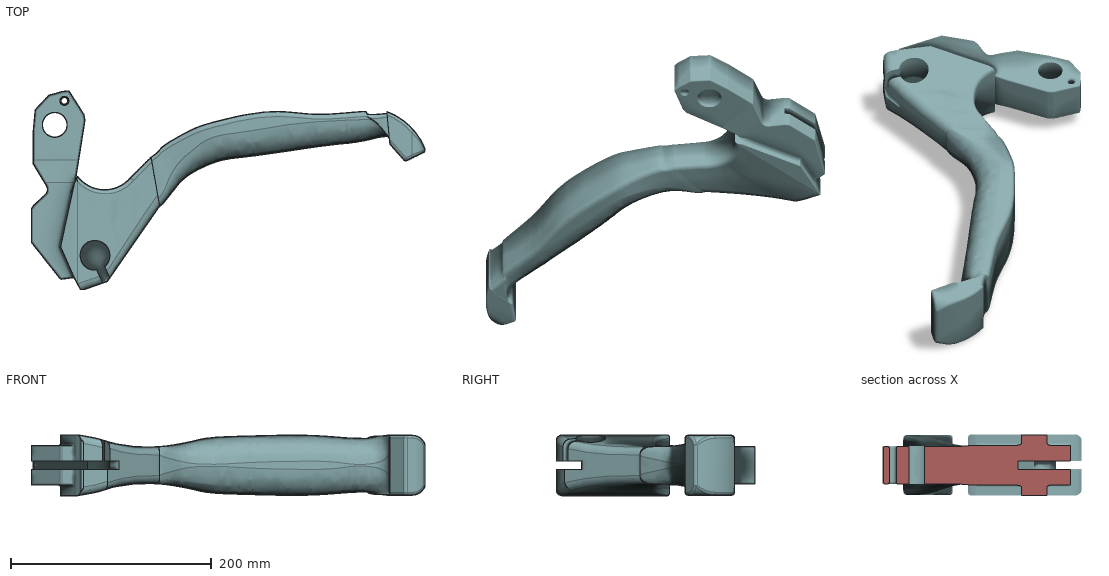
import cadquery as cq
import math


total_length = 392.19
total_width = 198.13
half_height = 60.74 / 2

arm_half_height = 18.7
knuckle_half_height = 19.9
arm_edge_radius = 1.2
arm_corner_radius = 2.0
neck_corner = (18.0, 98.5)
neck_radius = 7.0
slope_top_y = 129.0
slope_bottom_y = 107.0

pivot_diameter = 24.37
pivot_centre = (23.3, 164.2)
pin_diameter = 6.65
pin_rim_diameter = 8.9
pin_centre = (32.9, 188.1)
barrel_diameter = 29.55
barrel_centre = (63.4, 34.2)

slot_half_height = 4.0
slot_start = (4.0, 83.5)
slot_end = (88.0, 24.8)
groove_width = 8.6
groove_angle = -66.0
groove_length = 40.0

step_top = (42.8, 105.5)
step_corner = (29.2, 42.8)
step_bottom = (43.3, 10.7)
step_fillet = 1.8
web_back_radius = 4.0
web_front_radius = 8.0
heel = (49.6, -0.9)
heel_radius = 2.5
web_end_back = (119.2, 132.0)
web_end_front = (127.8, 83.3)
web_end_half_height = 18.2

tip_start_back = (354.0, 177.4)
tip_start_front = (357.0, 145.0)
tip_half_height = 29.9
tip_corner_radius = 14.0
tip_edge_radius = 3.0
tip_end_x = 392.96

edge_pick_distance = 0.6


def between_heights(sketch, half):
    """Extrude a plan outline symmetrically about the mid-plane."""
    return sketch.extrude(half, both=True)


def edges_near(body, places):
    """Select edges off the mid-plane that pass close to the given plan points."""
    probes = [cq.Edge.makeLine(cq.Vector(x, y, -half_height), cq.Vector(x, y, half_height)) for x, y in places]
    chosen = []
    for edge in body.edges("not |Z").vals():
        if any(edge.distance(probe) < edge_pick_distance for probe in probes):
            chosen.append(edge)
    return body.newObject(chosen)


def mounting_arm():
    plan = (
        cq.Workplane("XY")
        .moveTo(0, 80.4)
        .lineTo(0, 47.2)
        .lineTo(29.2, 10.3)
        .lineTo(50.0, 13.0)
        .lineTo(60, 30)
        .lineTo(60, 90)
        .lineTo(44.2, 110.2)
        .lineTo(53.5, 168.9)
        .lineTo(52.4, 174.5)
        .lineTo(37.3, 198.28)
        .lineTo(30.7, 197.4)
        .lineTo(17.4, 193.7)
        .lineTo(3.8, 179.2)
        .lineTo(1.8, 157.8)
        .lineTo(1.8, 125.5)
        .lineTo(*neck_corner)
        .lineTo(2.7, 84.5)
        .close()
    )
    body = between_heights(plan, half_height)
    neck = body.edges(cq.selectors.NearestToPointSelector((*neck_corner, 0)))
    body = neck.fillet(neck_radius).edges("|Z").fillet(arm_corner_radius)
    side = (
        cq.Workplane("YZ")
        .moveTo(0, -knuckle_half_height)
        .lineTo(slope_bottom_y, -knuckle_half_height)
        .spline([(slope_top_y, -arm_half_height)], tangents=[(1, 0), (1, 0)], includeCurrent=True)
        .lineTo(total_length, -arm_half_height)
        .lineTo(total_length, arm_half_height)
        .lineTo(slope_top_y, arm_half_height)
        .spline([(slope_bottom_y, knuckle_half_height)], tangents=[(-1, 0), (-1, 0)], includeCurrent=True)
        .lineTo(0, knuckle_half_height)
        .close()
        .extrude(total_length)
    )
    arm = body.intersect(side)
    return arm.edges("not (|X or |Z)").fillet(arm_edge_radius)


def lever_web():
    plan = (
        cq.Workplane("XY")
        .moveTo(*step_top)
        .lineTo(*step_corner)
        .lineTo(*step_bottom)
        .lineTo(*heel)
        .lineTo(75.6, 8.2)
        .lineTo(*web_end_front)
        .lineTo(*web_end_back)
        .lineTo(98.5, 111.4)
        .threePointArc((72.0, 99.6), (46.0, 113.0))
        .close()
    )
    body = between_heights(plan, half_height).edges("|Z").edges("<Y").fillet(heel_radius)
    far_x = web_end_front[0]
    flank = [(67.0, 26.3), (82.0, 21.7), (102.7, 18.6), (far_x, web_end_half_height)]
    side = (
        cq.Workplane("XZ")
        .moveTo(0, 0)
        .lineTo(0, half_height)
        .lineTo(46, half_height)
        .spline(flank, tangents=[(1, -0.2), (1, 0)], includeCurrent=True)
        .lineTo(far_x, 0)
        .close()
        .extrude(-total_width)
    )
    web = body.intersect(side.union(side.mirror("XY")))
    back_edges = edges_near(web, [(72.0, 99.6), (108.0, 121.2)])
    web = back_edges.fillet(web_back_radius)
    front_edges = edges_near(web, [(101.7, 45.75), (63.0, 4.13)])
    return front_edges.fillet(web_front_radius)


def grip_section(back, front, half, back_radius, nose_length, nose_half):
    """Closed D-shaped wire, flat at the back point and rounded to the front point."""
    run_x = front[0] - back[0]
    run_y = front[1] - back[1]
    depth = math.hypot(run_x, run_y)
    plane = cq.Plane(origin=(*back, 0), xDir=(run_x, run_y, 0), normal=(run_y, -run_x, 0))
    diagonal = math.sqrt(0.5)
    nose_start = depth - nose_length
    corner_in = back_radius * (1 - diagonal)
    nose_mid_x = nose_start + nose_length * diagonal
    nose_mid_z = nose_half + (half - nose_half) * diagonal
    outline = (
        cq.Workplane(plane)
        .moveTo(0, back_radius - half)
        .lineTo(0, half - back_radius)
        .threePointArc((corner_in, half - corner_in), (back_radius, half))
        .lineTo(nose_start, half)
        .spline([(nose_mid_x, nose_mid_z), (depth, nose_half)], tangents=[(1, 0), (0, -1)], includeCurrent=True)
        .lineTo(depth, -nose_half)
        .spline([(nose_mid_x, -nose_mid_z), (nose_start, -half)], tangents=[(0, -1), (-1, 0)], includeCurrent=True)
        .lineTo(back_radius, -half)
        .threePointArc((corner_in, corner_in - half), (0, back_radius - half))
        .close()
    )
    return outline.val()


def grip():
    stations = [
        (web_end_back, web_end_front, web_end_half_height, web_back_radius, web_front_radius, 10.2),
        ((128.0, 139.6), (136.5, 92.3), 18.8, web_back_radius, 12.0, 7.0),
        ((136.9, 146.8), (148.0, 106.9), 19.8, 4.5, 16.0, 4.0),
        ((157.5, 158.3), (163.5, 118.3), 23.5, 5.0, 21.0, 1.5),
        ((173.0, 164.5), (183.4, 127.1), 27.0, 5.0, 24.0, 1.0),
        ((208.8, 173.5), (213.0, 132.2), 29.0, 5.0, 25.0, 2.5),
        ((250.9, 177.4), (257.0, 138.3), 30.0, 5.0, 26.0, 4.0),
        ((298.0, 174.9), (304.8, 144.8), 28.6, 5.0, 24.0, 3.0),
        ((333.5, 177.1), (338.5, 149.9), 26.7, 5.0, 20.0, 1.5),
        ((356.0, 176.0), (358.5, 144.4), 29.5, 4.0, 4.0, 25.0),
    ]
    wires = [grip_section(*station) for station in stations]
    return cq.Workplane(cq.Solid.makeLoft(wires))


def hooked_tip():
    plan = (
        cq.Workplane("XY")
        .moveTo(*tip_start_back)
        .threePointArc((377.3, 162.5), (tip_end_x, 137.9))
        .lineTo(372.3, 127.6)
        .lineTo(*tip_start_front)
        .close()
    )
    body = between_heights(plan, half_height)
    start_x = tip_start_back[0]
    inset = tip_corner_radius * (1 - math.sqrt(0.5))
    side = (
        cq.Workplane("XZ")
        .moveTo(start_x, 0)
        .lineTo(start_x, tip_half_height)
        .lineTo(tip_end_x - tip_corner_radius, tip_half_height)
        .threePointArc(
            (tip_end_x - inset, tip_half_height - inset),
            (tip_end_x, tip_half_height - tip_corner_radius),
        )
        .lineTo(tip_end_x, 0)
        .close()
        .extrude(-total_width)
    )
    tip = body.intersect(side.union(side.mirror("XY")))
    start_middle_x = (tip_start_back[0] + tip_start_front[0]) / 2
    start_middle_y = (tip_start_back[1] + tip_start_front[1]) / 2
    start_face = tip.faces(cq.selectors.NearestToPointSelector((start_middle_x, start_middle_y, 0))).val()
    start_edges = start_face.Edges()
    free = [e for e in tip.edges().vals() if not any(e.isSame(s) for s in start_edges)]
    return tip.newObject(free).fillet(tip_edge_radius)


def clevis_cuts(body):
    run_x = slot_end[0] - slot_start[0]
    run_y = slot_end[1] - slot_start[1]
    slot = (
        cq.Workplane("XY")
        .moveTo(slot_start[0] - run_x, slot_start[1] - run_y)
        .lineTo(slot_end[0] + run_x, slot_end[1] + run_y)
        .lineTo(slot_start[0] - run_x, slot_end[1] + run_y)
        .close()
        .extrude(slot_half_height, both=True)
    )
    cut_depth = half_height + slot_half_height
    floor = cq.Workplane("XY").workplane(offset=-slot_half_height)
    barrel = floor.center(*barrel_centre).circle(barrel_diameter / 2).extrude(cut_depth)
    groove = (
        floor.center(*barrel_centre)
        .transformed(rotate=(0, 0, groove_angle))
        .center(groove_length / 2, 0)
        .rect(groove_length, groove_width)
        .extrude(cut_depth)
    )
    return body.cut(slot).cut(barrel).cut(groove)


def arm_holes(body):
    pivot = cq.Workplane("XY").center(*pivot_centre).circle(pivot_diameter / 2)
    pin = cq.Workplane("XY").center(*pin_centre).circle(pin_diameter / 2)
    body = body.cut(between_heights(pivot, half_height)).cut(between_heights(pin, half_height))
    chamfer = (pin_rim_diameter - pin_diameter) / 2
    for side in (1, -1):
        sink = cq.Solid.makeCone(
            pin_rim_diameter / 2,
            pin_diameter / 2,
            chamfer,
            cq.Vector(*pin_centre, side * arm_half_height),
            cq.Vector(0, 0, -side),
        )
        body = body.cut(cq.Workplane(sink))
    return body


def round_step(body):
    """Fillet where the lever cheeks stand up from the knuckle."""
    step_x = [(step_corner[0] + end[0]) / 2 for end in (step_top, step_bottom)]
    step_y = [(step_corner[1] + end[1]) / 2 for end in (step_top, step_bottom)]
    roots = edges_near(body, list(zip(step_x, step_y)))
    kept = [e for e in roots.vals() if abs(e.Center().z) < knuckle_half_height + edge_pick_distance]
    return body.newObject(kept).fillet(step_fillet)


knuckle = round_step(mounting_arm().union(lever_web()))
result = arm_holes(clevis_cuts(knuckle.union(grip()).union(hooked_tip())))